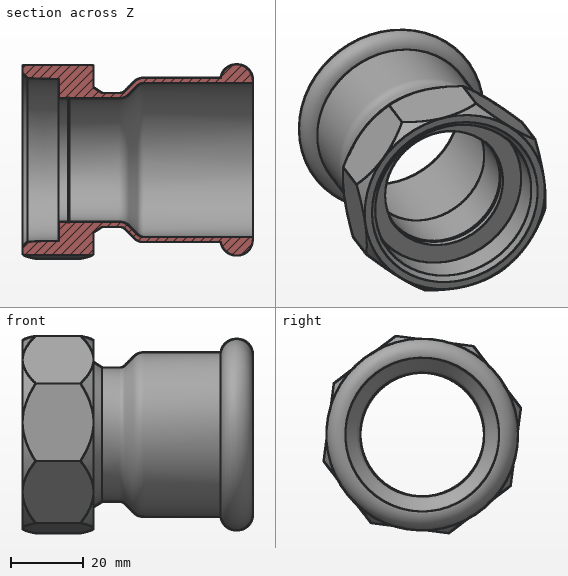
import cadquery as cq
import math

total_length = 63.5
wall = 1.5

nut_length = 19.6
nut_sides = 8
nut_across_flats = 52.0
nut_turn = 15.0
nut_face_diameter = 51.95
nut_chamfer_angle = 31.0

thread_mouth_diameter = 47.75
thread_diameter = 45.0
thread_end_diameter = 44.5
thread_depth = 10.0

collar_diameter = 40.0
neck_start = 22.0
neck_diameter = 37.0
bore_diameter = 34.0
land_length = 2.55
groove_width = 0.45
groove_depth = 0.1

flare_center = 29.7
flare_angle = math.radians(45)
socket_diameter = 45.4
flare_neck_bend = 2.0
flare_socket_bend = 3.75

bead_diameter = 52.85
bead_width = 9.0
bead_radius = bead_width / 2
bead_center = total_length - bead_radius

nut_corner_radius = nut_across_flats / 2 / math.cos(math.pi / nut_sides)


def revolve_about_x(profile):
    return profile.close().revolve(360, (0, 0, 0), (1, 0, 0))


def flared_tube(small_radius, large_radius, start, end, small_bend, large_bend, middle):
    """Solid of revolution with a small and a large radius joined by a flare, from start to end along X."""
    half_flare = (large_radius - small_radius) / 2 / math.tan(flare_angle)

    def bend(profile, x, radius, bend_radius, side):
        """Arc joining a straight wall and the flare; side is +1 at the small end, -1 at the large end."""
        tangent = bend_radius * math.tan(flare_angle / 2)
        arc_run = bend_radius * math.sin(flare_angle / 2)
        arc_rise = bend_radius * (1 - math.cos(flare_angle / 2))
        flat_point = (x - side * tangent, radius)
        middle_point = (flat_point[0] + side * arc_run, radius + side * arc_rise)
        slope_point = (
            x + side * tangent * math.cos(flare_angle),
            radius + side * tangent * math.sin(flare_angle),
        )
        if side > 0:
            return profile.lineTo(*flat_point).threePointArc(middle_point, slope_point)
        return profile.lineTo(*slope_point).threePointArc(middle_point, flat_point)

    profile = cq.Workplane("XY").moveTo(start, 0).lineTo(start, small_radius)
    profile = bend(profile, middle - half_flare, small_radius, small_bend, 1)
    profile = bend(profile, middle + half_flare, large_radius, large_bend, -1)
    return revolve_about_x(profile.lineTo(end, large_radius).lineTo(end, 0))


def chamfered_nut():
    face_radius = nut_face_diameter / 2
    chamfer_length = (nut_corner_radius - face_radius) / math.tan(math.radians(nut_chamfer_angle))
    first_corner = math.radians(90 + nut_turn)
    corners = []
    for i in range(nut_sides):
        angle = first_corner + i * 2 * math.pi / nut_sides
        corners.append((nut_corner_radius * math.cos(angle), nut_corner_radius * math.sin(angle)))
    prism = cq.Workplane("YZ").polyline(corners).close().extrude(nut_length)
    turned_blank = revolve_about_x(
        cq.Workplane("XY")
        .moveTo(0, 0)
        .lineTo(0, face_radius)
        .lineTo(chamfer_length, nut_corner_radius)
        .lineTo(nut_length - chamfer_length, nut_corner_radius)
        .lineTo(nut_length, face_radius)
        .lineTo(nut_length, 0)
    )
    return prism.intersect(turned_blank)


def collar():
    return revolve_about_x(
        cq.Workplane("XY")
        .moveTo(nut_length, 0)
        .lineTo(nut_length, collar_diameter / 2)
        .lineTo(neck_start, neck_diameter / 2)
        .lineTo(neck_start, 0)
    )


def bead():
    """Full torus; its inner side is trimmed when the socket is cut."""
    bead_round = cq.Workplane("XY").moveTo(bead_center, bead_diameter / 2 - bead_radius).circle(bead_radius)
    return bead_round.revolve(360, (0, 0, 0), (1, 0, 0))


def thread_socket():
    mouth_radius = thread_mouth_diameter / 2
    thread_radius = thread_diameter / 2
    return revolve_about_x(
        cq.Workplane("XY")
        .moveTo(0, 0)
        .lineTo(0, mouth_radius)
        .lineTo(mouth_radius - thread_radius, thread_radius)
        .lineTo(thread_depth, thread_end_diameter / 2)
        .lineTo(thread_depth, 0)
    )


def relief_groove():
    groove_start = thread_depth + land_length
    return (
        cq.Workplane("YZ", origin=(groove_start, 0, 0))
        .circle(bore_diameter / 2 + groove_depth)
        .extrude(groove_width)
    )


outer_tube = flared_tube(
    neck_diameter / 2,
    socket_diameter / 2,
    nut_length,
    bead_center,
    flare_neck_bend,
    flare_socket_bend,
    flare_center,
)

inner_shift = wall * math.tan(flare_angle / 2)
inner_tube = flared_tube(
    bore_diameter / 2,
    socket_diameter / 2 - wall,
    thread_depth,
    total_length,
    flare_neck_bend + wall,
    flare_socket_bend - wall,
    flare_center + inner_shift,
)

outside = chamfered_nut().union(collar()).union(outer_tube).union(bead())
result = outside.cut(inner_tube).cut(thread_socket()).cut(relief_groove())